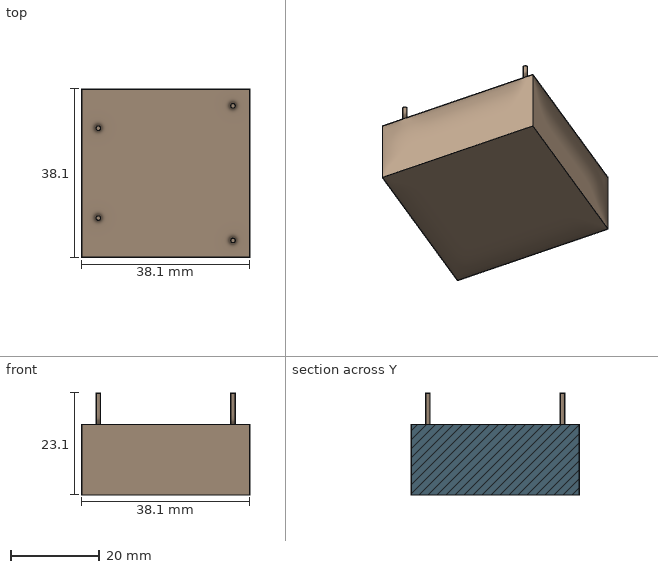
import cadquery as cq

body_side = 38.1
total_height = 23.05
body_height = 16.0

pin_diameter = 1.03
pin_length = total_height - body_height
pin_row_x = 15.25
left_pin_y = 10.17
right_pin_y = 15.25

pin_centres = [
    (-pin_row_x, -left_pin_y),
    (-pin_row_x, left_pin_y),
    (pin_row_x, -right_pin_y),
    (pin_row_x, right_pin_y),
]

body = cq.Workplane("XY").rect(body_side, body_side).extrude(body_height)

pins = (
    cq.Workplane("XY", origin=(0, 0, body_height))
    .pushPoints(pin_centres)
    .circle(pin_diameter / 2)
    .extrude(pin_length)
)

result = body.union(pins)